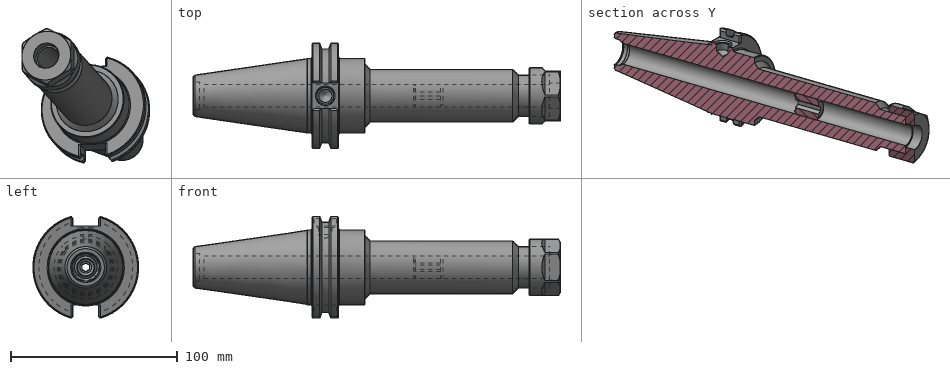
import cadquery as cq
import math

total_length = 220.7
taper_length = 68.5
neck_start = 68.8
flange_start = 71.5
flange_width = 15.9
flange_end = flange_start + flange_width
collar_end = 103.3
shank_end = 192.0
nut_start = 201.7
nose_end = 214.0

taper_ratio = 7 / 24
collar_radius = 22.5
collar_end_chamfer = 0.5
flange_root_chamfer = 0.7
taper_end_radius = 22.3
taper_start_radius = taper_end_radius - taper_length * taper_ratio / 2
taper_tip_chamfer = 1.0
neck_radius = collar_radius
flange_radius = 31.8
flange_chamfer = 0.7
shank_radius = 15.9
shank_root_chamfer = 3.0
nose_radius = 25.0 / 2

groove_center = 79.5
groove_floor_width = 4.2
groove_floor_radius = 28.2
groove_flank_angle = 20.0

slot_width = 15.5
slot_edge_bevel = 1.0
top_slot_floor = 25.0
bottom_slot_floor = 22.7

dimple_mouth_diameter = 11.7
dimple_seat_diameter = 10.2
dimple_diameter = 8.0
dimple_countersink_depth = 0.9
dimple_depth = 5.3
drill_tip_angle = 118.0

bore_mouth_radius = 18.0 / 2
bore_entry_radius = 16.5 / 2
bore_radius = 13.5 / 2
bore_mouth_chamfer_length = 1.3
bore_entry_end = 4.0
bore_cone_end = 6.6

screw_start = 132.5
screw_length = 17.7
screw_tip_radius = 10.8 / 2
screw_tip_chamfer = bore_radius - screw_tip_radius
socket_flats = 4.5
socket_mouth_radius = 10.2 / 2
socket_seat_radius = 7.0 / 2
socket_seat_depth = 0.9

nut_radius = 17.0
nut_back_chamfer = 0.7
nut_mouth_radius = 15.5 / 2
nut_hex_flats = 30.0
nut_front_chamfer_length = 1.3
nut_flat_start = 211.5
nut_flat_depth = nut_radius - nut_hex_flats / 2


def turned(points):
    """Solid of revolution about the X axis from an outline of (x, radius) points."""
    return cq.Workplane("XY").polyline(points).close().revolve(360, (0, 0, 0), (1, 0, 0))


def holder_blank():
    """Outside of the holder: taper, neck, flange, collar, shank and the nose inside the nut."""
    tip_rise = taper_tip_chamfer * taper_ratio / 2
    shank_chamfer = shank_radius - nose_radius
    return turned([
        (0, 0),
        (0, taper_start_radius - taper_tip_chamfer),
        (taper_tip_chamfer, taper_start_radius + tip_rise),
        (taper_length, taper_end_radius),
        (neck_start, neck_radius),
        (flange_start - flange_root_chamfer, neck_radius),
        (flange_start, neck_radius + flange_root_chamfer),
        (flange_start, flange_radius - flange_chamfer),
        (flange_start + flange_chamfer, flange_radius),
        (flange_end - flange_chamfer, flange_radius),
        (flange_end, flange_radius - flange_chamfer),
        (flange_end, collar_radius + flange_root_chamfer),
        (flange_end + flange_root_chamfer, collar_radius),
        (collar_end - collar_end_chamfer, collar_radius),
        (collar_end, collar_radius - collar_end_chamfer),
        (collar_end, shank_radius + shank_root_chamfer),
        (collar_end + shank_root_chamfer, shank_radius),
        (shank_end, shank_radius),
        (shank_end + shank_chamfer, nose_radius),
        (nose_end, nose_radius),
        (nose_end, 0),
    ])


def gripper_groove():
    """Cutter for the V-sided groove round the flange."""
    flank_run = (flange_radius - groove_floor_radius) * math.tan(math.radians(groove_flank_angle))
    half_floor = groove_floor_width / 2
    return turned([
        (groove_center - half_floor - flank_run, flange_radius),
        (groove_center - half_floor, groove_floor_radius),
        (groove_center + half_floor, groove_floor_radius),
        (groove_center + half_floor + flank_run, flange_radius),
    ])


def drive_slot(floor_height):
    """Cutter for one slot on the +Z side of the flange, its walls bevelled at the faces and at the rim."""
    half_width = slot_width / 2
    bevelled_half = half_width + slot_edge_bevel
    rim_height = math.sqrt(flange_radius**2 - bevelled_half**2)
    slot = (
        cq.Workplane("YZ", origin=(flange_start, 0, 0))
        .polyline([
            (-half_width, floor_height),
            (half_width, floor_height),
            (half_width, rim_height - slot_edge_bevel),
            (bevelled_half, rim_height),
            (bevelled_half, flange_radius),
            (-bevelled_half, flange_radius),
            (-bevelled_half, rim_height),
            (-half_width, rim_height - slot_edge_bevel),
        ])
        .close()
        .extrude(flange_width)
    )
    for face_x, inward in ((flange_start, slot_edge_bevel), (flange_end, -slot_edge_bevel)):
        flare = (
            cq.Workplane("XY", origin=(0, 0, floor_height))
            .polyline([
                (face_x, -bevelled_half),
                (face_x, bevelled_half),
                (face_x + inward, half_width),
                (face_x + inward, -half_width),
            ])
            .close()
            .extrude(flange_radius - floor_height)
        )
        slot = slot.union(flare)
    return slot


def dimple():
    """Cutter for the countersunk blind hole in the floor of the top slot, with a drill-tip bottom."""
    tip_depth = dimple_diameter / 2 / math.tan(math.radians(drill_tip_angle / 2))
    return (
        cq.Workplane("XZ")
        .polyline([
            (0, 0),
            (dimple_mouth_diameter / 2, 0),
            (dimple_seat_diameter / 2, -dimple_countersink_depth),
            (dimple_diameter / 2, -dimple_countersink_depth),
            (dimple_diameter / 2, -dimple_depth),
            (0, -dimple_depth - tip_depth),
        ])
        .close()
        .revolve(360, (0, 0, 0), (0, 1, 0))
        .translate((groove_center, 0, top_slot_floor))
    )


def holder_bore():
    """Cutter for the axial bore, wider at the small end of the taper."""
    return turned([
        (0, 0),
        (0, bore_mouth_radius),
        (bore_mouth_chamfer_length, bore_entry_radius),
        (bore_entry_end, bore_entry_radius),
        (bore_cone_end, bore_radius),
        (nose_end, bore_radius),
        (nose_end, 0),
    ])


def make_holder():
    top_slot = drive_slot(top_slot_floor)
    bottom_slot = drive_slot(bottom_slot_floor).rotate((0, 0, 0), (1, 0, 0), 180)
    return (
        holder_blank()
        .cut(gripper_groove())
        .cut(top_slot)
        .cut(bottom_slot)
        .cut(dimple())
        .cut(holder_bore())
    )


def screw_socket():
    """Hexagonal through hole with two corners on the Z axis and a countersunk mouth."""
    hexagon = (
        cq.Workplane("YZ", origin=(screw_start, 0, 0))
        .transformed(rotate=(0, 0, 90))
        .polygon(6, socket_flats / math.cos(math.radians(30)))
        .extrude(screw_length)
    )
    mouth = turned([
        (screw_start, 0),
        (screw_start, socket_mouth_radius),
        (screw_start + socket_seat_depth, socket_seat_radius),
        (screw_start + socket_seat_depth, 0),
    ])
    return hexagon.union(mouth)


def make_stop_screw():
    """Screw that fills the holder bore, chamfered at both ends."""
    screw_end = screw_start + screw_length
    screw = turned([
        (screw_start, 0),
        (screw_start, screw_tip_radius),
        (screw_start + screw_tip_chamfer, bore_radius),
        (screw_end - screw_tip_chamfer, bore_radius),
        (screw_end, screw_tip_radius),
        (screw_end, 0),
    ])
    return screw.cut(screw_socket())


def nut_flat_cutter():
    """Cutter for the flat on the +Y side, with a 45-degree run-out towards the collar."""
    flat = nut_hex_flats / 2
    return (
        cq.Workplane("XY")
        .polyline([
            (nut_flat_start, flat),
            (total_length, flat),
            (total_length, nut_radius),
            (nut_flat_start - nut_flat_depth, nut_radius),
        ])
        .close()
        .extrude(nut_radius, both=True)
    )


def make_nut():
    """Nut round the holder nose, with a hexagonal front and a smaller mouth beyond the nose."""
    nut = turned([
        (nut_start, nose_radius),
        (nut_start, nut_radius - nut_back_chamfer),
        (nut_start + nut_back_chamfer, nut_radius),
        (total_length - nut_front_chamfer_length, nut_radius),
        (total_length, nut_radius - nut_flat_depth),
        (total_length, nut_mouth_radius),
        (nose_end, nut_mouth_radius),
        (nose_end, nose_radius),
    ])
    for side in range(6):
        nut = nut.cut(nut_flat_cutter().rotate((0, 0, 0), (1, 0, 0), side * 60))
    return nut


holder = make_holder()
stop_screw = make_stop_screw()
nut = make_nut()

result = cq.Compound.makeCompound([holder.val(), stop_screw.val(), nut.val()])